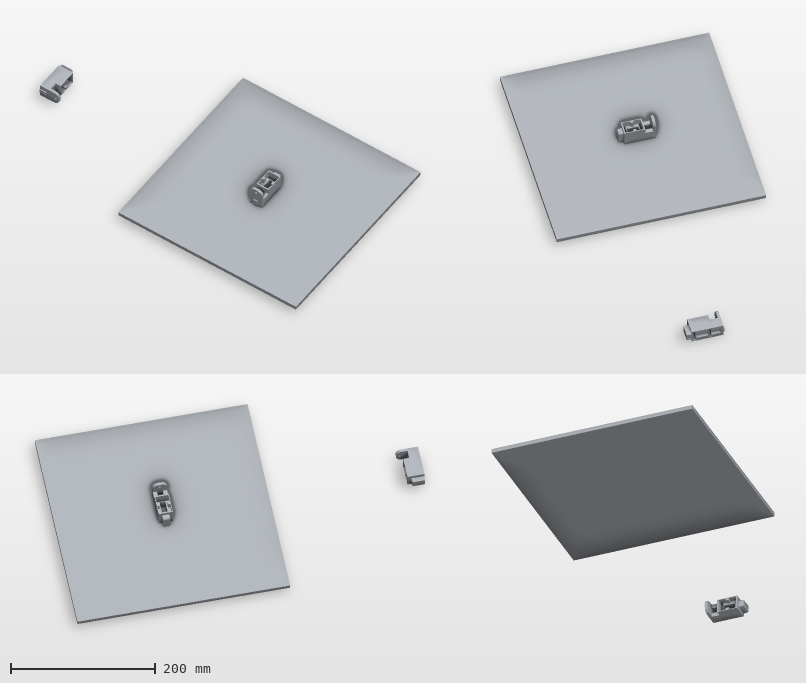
import cadquery as cq

plate_side = 300.0
plate_thickness = 6.0

housing_width = 20.0
housing_height = 24.0
housing_back = 15.5
housing_front = -30.0
low_front_height = 15.5
tab_height = 31.5
tab_thickness = 4.0
tab_corner_radius = 7.5
screw_hole_diameter = 3.2
screw_hole_height = 26.5

side_wall = 1.0
end_wall = 2.0
hollow_width = housing_width - 2 * side_wall
hollow_back = housing_back - end_wall
step_front = -14.5
hollow_front = step_front + end_wall

rib_width = 4.6
rib_depth = 3.0
rib_base = 11.5

slot_width = 8.0
slot_back = -13.2
slot_front = housing_front + tab_thickness
catch_width = 6.2
catch_height = 11.0
catch_depth = 1.5

ear_width = 11.0
ear_height = 19.0
ear_length = 7.0
ear_taper = 3.0
ear_chamfer = 1.2
ear_recess_margin = 1.5
ear_recess_depth = 1.5

insert_length = 20.0
insert_height = low_front_height
channel_width = slot_width
insert_end_web = 1.6
insert_chamfer = 1.2

upright_x = -1.5
overall_length = 516.25
lying_base_x = plate_side / 2 - overall_length


def block(width, back, front, bottom, top):
    """A box centred on X = 0, from front to back in Y and bottom to top in Z."""
    return cq.Workplane("XY").box(width, back - front, top - bottom).translate(
        (0, (back + front) / 2, (bottom + top) / 2)
    )


def make_plate():
    return cq.Workplane("XY").rect(plate_side, plate_side).extrude(-plate_thickness)


def guide_ribs(bottom):
    ribs = cq.Workplane("XY")
    offset = hollow_width / 2 - rib_depth / 2
    for side in (-1, 1):
        rib = block(rib_depth, rib_width / 2, -rib_width / 2, bottom, housing_height)
        ribs = ribs.add(rib.translate((side * offset, 0, 0)))
    return ribs.combine()


def make_tab():
    tab = block(housing_width, slot_front, housing_front, 0, tab_height)
    tab = tab.edges("|Y and >Z").fillet(tab_corner_radius)
    screw_hole = (
        cq.Workplane("XZ", origin=(0, slot_front, screw_hole_height))
        .circle(screw_hole_diameter / 2)
        .extrude(tab_thickness)
    )
    return tab.cut(screw_hole)


def make_ear():
    ear = (
        cq.Workplane("XZ", origin=(0, housing_back, ear_height / 2))
        .rect(ear_width, ear_height)
        .extrude(-ear_length, taper=ear_taper)
    )
    ear = ear.faces(">Z").edges("not <Y").chamfer(ear_chamfer)
    recess = block(
        ear_width - 2 * ear_recess_margin,
        housing_back + ear_length - ear_recess_margin,
        housing_back + ear_recess_margin,
        0,
        ear_recess_depth,
    )
    return ear.cut(recess)


def make_housing():
    housing = block(housing_width, housing_back, step_front, 0, housing_height)
    housing = housing.cut(block(hollow_width, hollow_back, hollow_front, 0, housing_height))
    housing = housing.union(guide_ribs(rib_base))
    low_front = block(housing_width, step_front, slot_front, 0, low_front_height)
    housing = housing.union(low_front).union(make_tab()).union(make_ear())
    housing = housing.cut(block(slot_width, slot_back, slot_front, 0, low_front_height))
    catch = block(catch_width, housing_front, housing_front - catch_depth, 0, catch_height)
    return housing.union(catch)


def make_insert():
    half_length = insert_length / 2
    half_channel = half_length - insert_end_web
    insert = block(hollow_width, half_length, -half_length, 0, insert_height)
    insert = insert.faces(">Z").edges("|X").chamfer(insert_chamfer)
    insert = insert.cut(block(channel_width, half_channel, -half_channel, 0, insert_height))
    return insert.cut(guide_ribs(rib_base))


def stand_upright(body):
    return body.translate((upright_x, 0, 0))


def lay_down(body):
    """Turn the body so that its top points to +X, its base at lying_base_x."""
    return body.rotate((0, 0, 0), (0, 1, 0), 90).translate((lying_base_x, 0, 0))


plate = make_plate()
housings = []
inserts = []
for place in (stand_upright, lay_down):
    housings.append(place(make_housing()).val())
    inserts.append(place(make_insert()).val())

result = cq.Compound.makeCompound([plate.val(), *housings, *inserts])